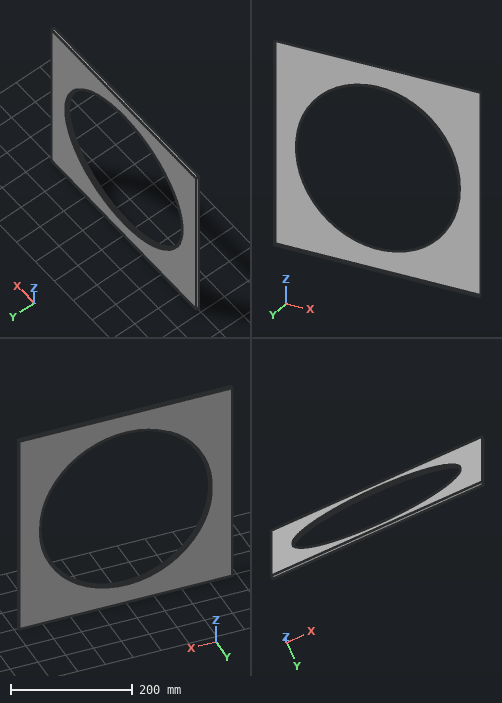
import cadquery as cq

side = 382.5
thickness = 6.0
opening_diameter = 305.0

lip_thickness = 3.0
rebate_diameter = 309.0

front_y = -thickness / 2
rear_y = thickness / 2

plate = cq.Workplane("XY").box(side, thickness, side)


def round_cutter(diameter, start_y):
    """Cylinder along Y from start_y to the rear face."""
    return (
        cq.Workplane("XZ", origin=(0, start_y, 0))
        .circle(diameter / 2)
        .extrude(start_y - rear_y)
    )


opening = round_cutter(opening_diameter, front_y)
rebate = round_cutter(rebate_diameter, front_y + lip_thickness)

result = plate.cut(opening).cut(rebate)